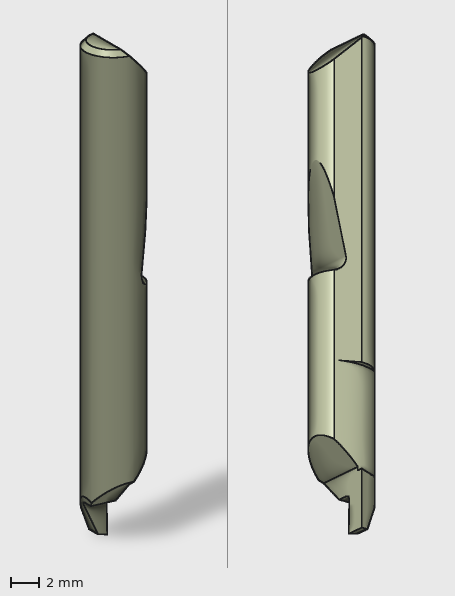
import cadquery as cq
import math

length = 38.1
radius = 2.38
end_chamfer = 0.42
margin = 3.8
reach = radius + margin

top_bevel_axis_z = 37.55
tip_bevel_axis_z = 4.8
notch_bottom_z = 19.6
notch_radius = 1.0
notch_center_y = 2.02
notch_angle = math.radians(10)

flat_end_angle = math.radians(130)
clearance_end_angle = math.radians(225)
pocket_bottom_z = 4.55
pocket_top_z = 12.7
pocket_floor_x = -1.95
pocket_floor_y = 0.05
pocket_floor_radius = 4.25

side_bevel_top_z = 5.05
shoulder_z = 2.97
neck_top_x = -0.9
neck_bottom_x = -0.85
neck_fillet = 0.35
front_bevel_top_z = 3.62
front_bevel_angle = math.radians(25)
edge_land_y = -0.8
edge_land_rise = 0.2


def along_x(points):
    """Prism with a (Y, Z) outline, running right across the bar."""
    return cq.Workplane("YZ").polyline(points).close().extrude(reach, both=True)


def chord_cut(end_angle, height):
    """Waste outside the chord from the -X point of the bar to end_angle, from Z = 0 up to height."""
    start = cq.Vector(-radius, 0)
    end = cq.Vector(radius * math.cos(end_angle), radius * math.sin(end_angle))
    middle_angle = (math.pi + end_angle) / 2
    outward = cq.Vector(math.cos(middle_angle), math.sin(middle_angle)) * margin
    corners = [start, end, end + outward, start + outward]
    outline = [(corner.x, corner.y) for corner in corners]
    return cq.Workplane("XY").polyline(outline).close().extrude(height)


def back_bevels():
    """45 degree waste wedges at the top and bottom of the back."""
    top_z = length + margin
    top = along_x([
        (top_bevel_axis_z - top_z, top_z),
        (reach, top_bevel_axis_z - reach),
        (reach, top_z),
    ])
    tip = along_x([
        (0, -margin),
        (0, tip_bevel_axis_z),
        (reach, tip_bevel_axis_z + reach),
        (reach, -margin),
    ])
    return top.union(tip)


def clamping_notch():
    """Notch with a sloping floor that runs into a rounded bottom corner."""
    center_z = notch_bottom_z + notch_radius
    tangent_y = notch_center_y - notch_radius * math.cos(notch_angle)
    tangent_z = center_z + notch_radius * math.sin(notch_angle)
    slope_top_z = tangent_z + (reach - tangent_y) / math.tan(notch_angle)
    middle_step = notch_radius * math.sqrt(0.5)
    return (
        cq.Workplane("YZ")
        .moveTo(reach, notch_bottom_z)
        .lineTo(notch_center_y, notch_bottom_z)
        .threePointArc((notch_center_y - middle_step, center_z - middle_step), (tangent_y, tangent_z))
        .lineTo(reach, slope_top_z)
        .close()
        .extrude(reach, both=True)
    )


def side_pocket():
    """Shallow pocket on the -X side with a convex cylindrical floor."""
    height = pocket_top_z - pocket_bottom_z
    base = cq.Workplane("XY", origin=(0, 0, pocket_bottom_z))
    left_half = base.center(-reach / 2, 0).rect(reach, 2 * radius).extrude(height)
    floor_center_x = pocket_floor_x + pocket_floor_radius
    floor = base.center(floor_center_x, pocket_floor_y).circle(pocket_floor_radius).extrude(height)
    return left_half.cut(floor)


def neck_waste():
    """Waste on the +X side below the side bevel and the shoulder, leaving the narrow tip."""
    shoulder_end_x = radius - (side_bevel_top_z - shoulder_z)
    neck = (
        cq.Workplane("XZ")
        .polyline([(neck_bottom_x, 0), (neck_top_x, shoulder_z), (reach, shoulder_z), (reach, 0)])
        .close()
        .extrude(reach, both=True)
        .edges("|Y and >Z and <X")
        .fillet(neck_fillet)
    )
    bevel = (
        cq.Workplane("XZ")
        .polyline([
            (shoulder_end_x, shoulder_z),
            (reach, side_bevel_top_z + margin),
            (reach, shoulder_z),
        ])
        .close()
        .extrude(reach, both=True)
    )
    return neck.union(bevel)


def front_waste():
    """Waste below the sloping front of the tip and its slightly relieved bottom face."""
    land_z = front_bevel_top_z - (radius + edge_land_y) / math.tan(front_bevel_angle)
    bevel_reach_z = front_bevel_top_z + margin / math.tan(front_bevel_angle)
    bevel = along_x([(-reach, bevel_reach_z), (edge_land_y, land_z), (edge_land_y, -margin), (-reach, -margin)])
    land = along_x([(0, 0), (edge_land_y, edge_land_rise), (edge_land_y, -margin), (0, -margin)])
    return bevel.union(land)


bar = cq.Workplane("XY").circle(radius).extrude(length).faces(">Z").chamfer(end_chamfer)

result = (
    bar.cut(chord_cut(flat_end_angle, length))
    .cut(chord_cut(clearance_end_angle, pocket_bottom_z))
    .cut(side_pocket())
    .cut(back_bevels())
    .cut(clamping_notch())
    .cut(neck_waste())
    .cut(front_waste())
)